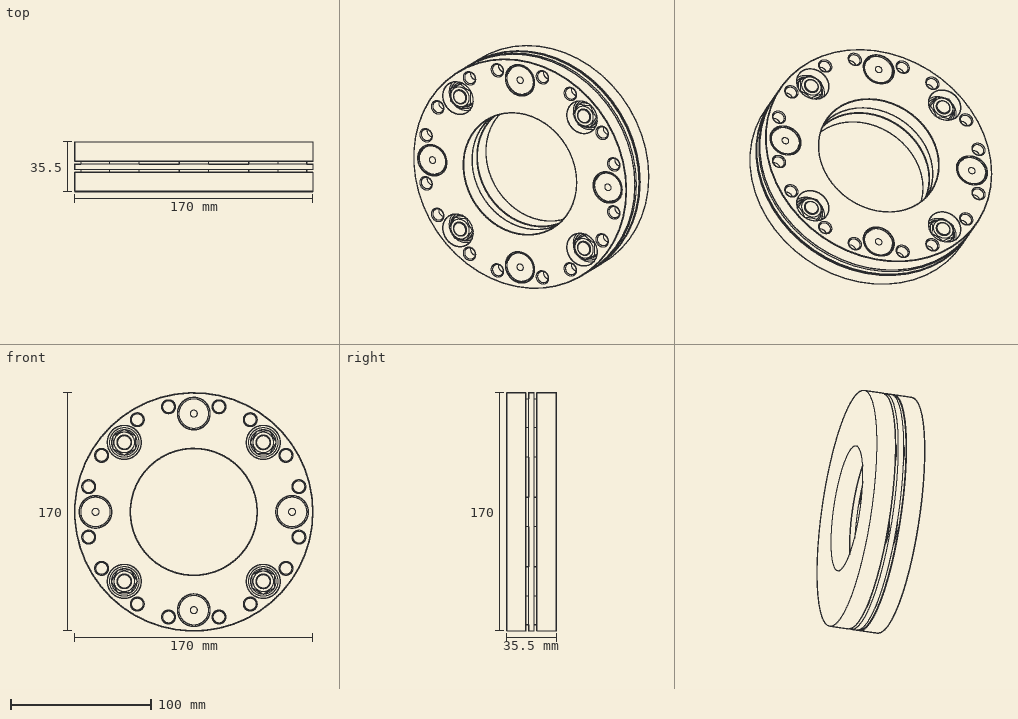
import cadquery as cq
import math

outer_diameter = 170.0
plate_bore_diameter = 90.0
middle_bore_diameter = 110.0
plate_thickness = 14.0
middle_thickness = 4.0
gap = 1.75
plate_edge_chamfer = 0.4

pin_circle_radius = 70.0
pin_diameter = 21.0
plain_pin_angles = (0, 90, 180, 270)
nut_pin_angles = (45, 135, 225, 315)

clearance_diameter = 23.0
clearance_depth = 2.0
plain_pin_recess = 0.4
mouth_chamfer = 0.2
centre_hole_diameter = 5.0
drill_tip_angle = 118.0

pocket_diameter = 24.0
pocket_depth = 10.0
nut_recess = 3.4
nut_thickness = 5.0
nut_sides = 6
nut_across_flats = 16.0
nut_face_diameter = 14.6
nut_chamfer_angle = 30.0
collar_top_diameter = 18.2
collar_cone_height = 0.9
stud_diameter = 10.5
stud_protrusion = 0.6
stud_chamfer = 0.5

blind_circle_radius = 77.0
blind_offset_angle = 13.5
blind_diameter = 8.38
blind_depth = 10.0
blind_chamfer = 0.8

middle_face = middle_thickness / 2
plate_inner_face = middle_face + gap
plate_outer_face = plate_inner_face + plate_thickness
front = -plate_outer_face


def cylinder(diameter, y_start, y_end):
    """Cylinder along Y, centred on the Y axis."""
    return cq.Workplane("XZ", origin=(0, y_start, 0)).circle(diameter / 2).extrude(y_start - y_end)


def cone(start_diameter, end_diameter, y_start, y_end):
    """Solid of revolution along Y whose diameter changes linearly; an end may be a point."""
    outline = cq.Workplane("XY").moveTo(0, y_start).lineTo(start_diameter / 2, y_start)
    if end_diameter > 0:
        outline = outline.lineTo(end_diameter / 2, y_end)
    outline = outline.lineTo(0, y_end).close()
    return outline.revolve(360, (0, 0, 0), (0, 1, 0))


def place(feature, radius, angle):
    """Copy of a feature moved to a polar position in the XZ plane."""
    x = radius * math.cos(math.radians(angle))
    z = radius * math.sin(math.radians(angle))
    return feature.translate((x, 0, z))


def ring(bore_diameter, y_start, y_end):
    return cylinder(outer_diameter, y_start, y_end).cut(cylinder(bore_diameter, y_start, y_end))


def front_plate():
    """Front ring with all its circular edges chamfered."""
    body = ring(plate_bore_diameter, -plate_outer_face, -plate_inner_face)
    return body.edges("%CIRCLE").chamfer(plate_edge_chamfer)


def rear_plate():
    """Rear ring, chamfered only on the face towards the gap."""
    body = ring(plate_bore_diameter, plate_inner_face, plate_outer_face)
    return body.faces("<Y").edges("%CIRCLE").chamfer(plate_edge_chamfer)


def flared_hole(diameter, depth, chamfer):
    """Flat-bottomed hole in the front face with a chamfered mouth."""
    hole = cylinder(diameter, front, front + depth)
    return hole.union(cone(diameter + 2 * chamfer, diameter, front, front + chamfer))


def clearance_groove():
    """Narrow groove around a plain pin whose end sits just below the front face."""
    pin = cylinder(pin_diameter, front + plain_pin_recess, front + clearance_depth)
    return flared_hole(clearance_diameter, clearance_depth, mouth_chamfer).cut(pin)


def centre_hole():
    """Conical centre mark in the end of a plain pin."""
    tip_depth = centre_hole_diameter / 2 / math.tan(math.radians(drill_tip_angle / 2))
    pin_end = front + plain_pin_recess
    return cone(centre_hole_diameter, 0, pin_end, pin_end + tip_depth)


def hexagonal_nut():
    """Nut with flats facing +Z and -Z and a conical chamfer around its outer face."""
    nut_face = front + nut_recess
    nut_base = nut_face + nut_thickness
    across_corners = nut_across_flats / math.cos(math.pi / nut_sides)
    chamfer_height = (across_corners - nut_face_diameter) / 2 * math.tan(math.radians(nut_chamfer_angle))
    chamfer_base = nut_face + chamfer_height
    prism = cq.Workplane("XZ", origin=(0, nut_face, 0)).polygon(nut_sides, across_corners)
    prism = prism.extrude(-nut_thickness)
    envelope = cone(nut_face_diameter, across_corners, nut_face, chamfer_base)
    envelope = envelope.union(cylinder(across_corners, chamfer_base, nut_base))
    return prism.intersect(envelope)


def stud_end():
    """Chamfered end of the stud, standing proud of the nut."""
    nut_face = front + nut_recess
    stud_face = nut_face - stud_protrusion
    stud_edge = stud_face + stud_chamfer
    tip = cone(stud_diameter - 2 * stud_chamfer, stud_diameter, stud_face, stud_edge)
    return tip.union(cylinder(stud_diameter, stud_edge, nut_face))


def nut_pocket():
    """Pocket left open around the collar, nut and stud of a 45 degree pin."""
    collar_top = front + nut_recess + nut_thickness
    collar_edge = collar_top + collar_cone_height
    pocket = flared_hole(pocket_diameter, pocket_depth, mouth_chamfer)
    pocket = pocket.cut(cylinder(pin_diameter, collar_edge, front + pocket_depth))
    pocket = pocket.cut(cone(collar_top_diameter, pin_diameter, collar_top, collar_edge))
    return pocket.cut(hexagonal_nut()).cut(stud_end())


result = ring(middle_bore_diameter, -middle_face, middle_face)
result = result.union(front_plate())
result = result.union(rear_plate())

spacer = cylinder(pin_diameter, -plate_inner_face - plate_edge_chamfer, plate_inner_face + plate_edge_chamfer)
for pin_angle in plain_pin_angles + nut_pin_angles:
    result = result.union(place(spacer, pin_circle_radius, pin_angle))

for pin_angle in plain_pin_angles:
    result = result.cut(place(clearance_groove(), pin_circle_radius, pin_angle))
    result = result.cut(place(centre_hole(), pin_circle_radius, pin_angle))

for pin_angle in nut_pin_angles:
    turn_angle = nut_pin_angles[0] - pin_angle
    turned_pocket = nut_pocket().rotate((0, 0, 0), (0, 1, 0), turn_angle)
    result = result.cut(place(turned_pocket, pin_circle_radius, pin_angle))

blind_hole = flared_hole(blind_diameter, blind_depth, blind_chamfer)
for pin_angle in plain_pin_angles + nut_pin_angles:
    for side in (-1, 1):
        hole_angle = pin_angle + side * blind_offset_angle
        result = result.cut(place(blind_hole, blind_circle_radius, hole_angle))